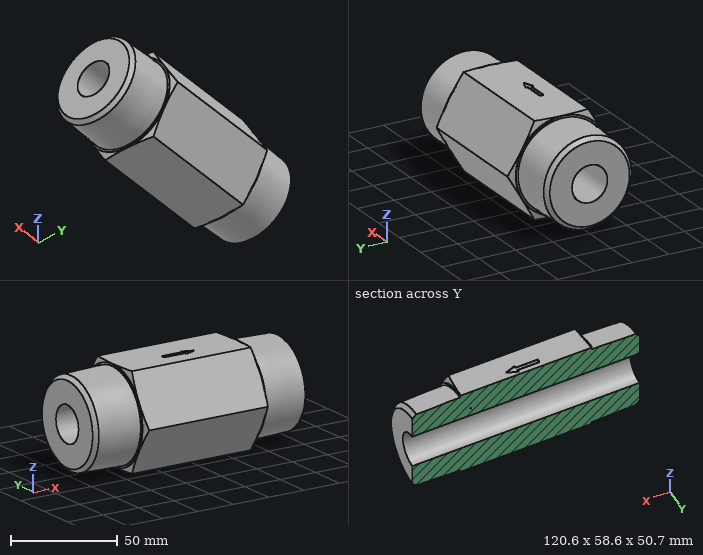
import cadquery as cq
import math

total_length = 120.6
hex_length = 70.0
hex_across_corners = 58.6
hex_across_flats = hex_across_corners * math.cos(math.radians(30))

land_diameter = 48.6
land_length = 5.4
thread_tip_diameter = 47.5
end_face_diameter = 43.2
end_chamfer_length = 2.0
bore_diameter = 19.2

washer_length = 0.4
corner_chamfer_length = 1.5

arrow_tail_x = -8.6
arrow_neck_x = 3.1
arrow_tip_x = 8.7
arrow_y = -3.6
arrow_shaft_width = 1.8
arrow_head_width = 4.1
arrow_depth = 0.2

half_length = total_length / 2
half_hex = hex_length / 2


def revolve_half_profile(points):
    """Revolve (x, radius) points about X and add the mirrored half at -X."""
    outline = [(0, 0)] + points + [(points[-1][0], 0)]
    half = cq.Workplane("XY").polyline(outline).close().revolve(360, (0, 0), (1, 0))
    return half.union(half.mirror("YZ"))


def make_hexagon():
    """Hexagon with corners on +Y and -Y, its corners turned off conically at both ends."""
    prism = (
        cq.Workplane("YZ")
        .polygon(6, hex_across_corners)
        .extrude(half_hex, both=True)
    )
    washer_radius = hex_across_flats / 2
    corner_radius = hex_across_corners / 2
    turned_envelope = revolve_half_profile([
        (0, corner_radius),
        (half_hex - corner_chamfer_length, corner_radius),
        (half_hex - washer_length, washer_radius),
        (half_hex, washer_radius),
    ])
    return prism.intersect(turned_envelope)


def make_threaded_ends():
    """Plain land beside the hexagon, then a slight taper and a chamfered end."""
    land_radius = land_diameter / 2
    return revolve_half_profile([
        (0, land_radius),
        (half_hex + land_length, land_radius),
        (half_length - end_chamfer_length, thread_tip_diameter / 2),
        (half_length, end_face_diameter / 2),
    ])


def make_bore():
    return cq.Workplane("YZ").circle(bore_diameter / 2).extrude(half_length, both=True)


def make_arrow():
    """Cutter for the flow arrow pointing along +X."""
    shaft = arrow_shaft_width / 2
    head = arrow_head_width / 2
    outline = [
        (arrow_tail_x, -shaft),
        (arrow_neck_x, -shaft),
        (arrow_neck_x, -head),
        (arrow_tip_x, 0),
        (arrow_neck_x, head),
        (arrow_neck_x, shaft),
        (arrow_tail_x, shaft),
    ]
    return (
        cq.Workplane("XY", origin=(0, arrow_y, hex_across_flats / 2))
        .polyline(outline)
        .close()
        .extrude(-arrow_depth)
    )


body = make_hexagon().union(make_threaded_ends())
result = body.cut(make_bore()).cut(make_arrow())